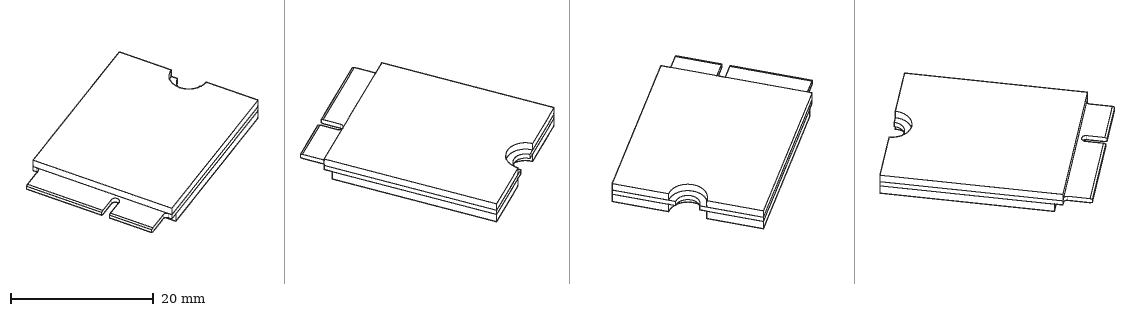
import cadquery as cq

CARD_WIDTH = 22.0
CARD_LENGTH = 30.0

BOARD_THICKNESS = 0.78
TOP_THICKNESS = 1.2
BOTTOM_THICKNESS = 1.38

TONGUE_WIDTH = 19.85
TONGUE_LENGTH = 4.02
SHOULDER_RADIUS = 0.5
BEVEL_LENGTH = 0.33
BEVEL_HEIGHT = 0.12

KEY_WIDTH = 1.2
KEY_DEPTH = 3.5
KEY_X = 2.6

SCREW_RADIUS = 1.75
SCREW_HEAD_RADIUS = 2.75

TOP_LENGTH = CARD_LENGTH - TONGUE_LENGTH
BOTTOM_SETBACK = 1.2
BOTTOM_LENGTH = TOP_LENGTH - BOTTOM_SETBACK


def plate(width, length, thickness, base_z):
    """Rectangular plate reaching forward from the rear edge."""
    return (
        cq.Workplane("XY", origin=(0, -length / 2, base_z))
        .rect(width, length)
        .extrude(thickness)
    )


def cut_rear_notch(body, radius, thickness, base_z):
    """Cut a half-round notch centred on the rear edge."""
    cutter = cq.Workplane("XY", origin=(0, 0, base_z)).circle(radius).extrude(thickness)
    return body.cut(cutter)


def make_cover(length, thickness, base_z):
    """Plain cover with clearance for the screw head."""
    cover = plate(CARD_WIDTH, length, thickness, base_z)
    return cut_rear_notch(cover, SCREW_HEAD_RADIUS, thickness, base_z)


def board_blank():
    """Board outline with the tongue, bevelled above and below at the card edge."""
    profile = [
        (0, 0),
        (0, BOARD_THICKNESS),
        (-CARD_LENGTH + BEVEL_LENGTH, BOARD_THICKNESS),
        (-CARD_LENGTH, BOARD_THICKNESS - BEVEL_HEIGHT),
        (-CARD_LENGTH, BEVEL_HEIGHT),
        (-CARD_LENGTH + BEVEL_LENGTH, 0),
    ]
    tongue = (
        cq.Workplane("YZ", origin=(-TONGUE_WIDTH / 2, 0, 0))
        .polyline(profile)
        .close()
        .extrude(TONGUE_WIDTH)
    )
    board = plate(CARD_WIDTH, TOP_LENGTH, BOARD_THICKNESS, 0).union(tongue)
    shoulders = [
        (side * TONGUE_WIDTH / 2, -TOP_LENGTH, BOARD_THICKNESS / 2) for side in (-1, 1)
    ]
    for corner in shoulders:
        edge = cq.selectors.NearestToPointSelector(corner)
        board = board.edges("|Z").edges(edge).fillet(SHOULDER_RADIUS)
    return board


def key_slot():
    """Open slot with a full-round inner end."""
    radius = KEY_WIDTH / 2
    front_y = -CARD_LENGTH
    arc_y = front_y + KEY_DEPTH - radius
    return (
        cq.Workplane("XY")
        .moveTo(KEY_X - radius, front_y)
        .lineTo(KEY_X - radius, arc_y)
        .threePointArc((KEY_X, arc_y + radius), (KEY_X + radius, arc_y))
        .lineTo(KEY_X + radius, front_y)
        .close()
        .extrude(BOARD_THICKNESS)
    )


def make_board():
    """Circuit board with its screw notch and key slot."""
    board = board_blank().cut(key_slot())
    return cut_rear_notch(board, SCREW_RADIUS, BOARD_THICKNESS, 0)


board = make_board()
top_cover = make_cover(TOP_LENGTH, TOP_THICKNESS, BOARD_THICKNESS)
bottom_cover = make_cover(BOTTOM_LENGTH, BOTTOM_THICKNESS, -BOTTOM_THICKNESS)

bodies = [board, top_cover, bottom_cover]
result = cq.Compound.makeCompound([body.solids().val() for body in bodies])